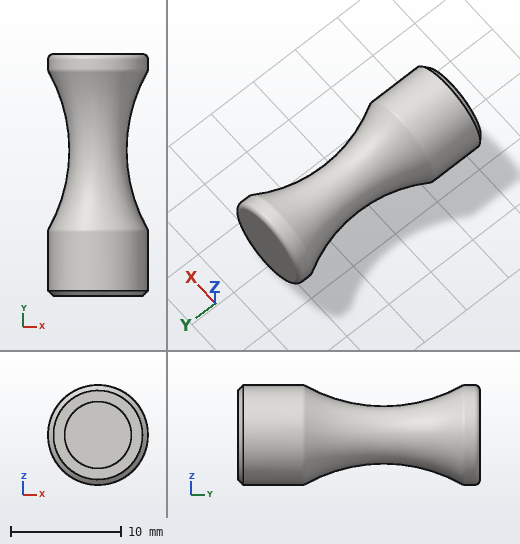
import cadquery as cq

length = 22.0
outer_radius = 4.55
end_break = 0.5

waist_center = 13.25
waist_radius = 2.62
waist_half_length = 7.24
waist_start = waist_center - waist_half_length
waist_end = waist_center + waist_half_length
waist_edge_fillet = 0.5

socket_radius = 3.04
socket_depth = 6.0


def make_body():
    """Revolve the half outline (radius along X) about the Y axis."""
    outline = (
        cq.Workplane("XY")
        .lineTo(outer_radius, 0)
        .lineTo(outer_radius, waist_start)
        .threePointArc((waist_radius, waist_center), (outer_radius, waist_end))
        .lineTo(outer_radius, length)
        .lineTo(0, length)
        .close()
    )
    return outline.revolve(360, (0, 0, 0), (0, 1, 0))


def rim_at(y):
    """Select the full-diameter circular edge at the given height along Y."""
    reach = outer_radius + 0.22
    half_band = 0.1
    return cq.selectors.BoxSelector(
        (-reach, y - half_band, -reach), (reach, y + half_band, reach), boundingbox=True
    )


body = make_body()
for rim in (waist_start, waist_end):
    body = body.edges(rim_at(rim)).edges("%CIRCLE").fillet(waist_edge_fillet)
body = body.edges(rim_at(0)).edges("%CIRCLE").chamfer(end_break)
body = body.edges(rim_at(length)).edges("%CIRCLE").fillet(end_break)

socket = cq.Workplane("XZ").circle(socket_radius).extrude(-socket_depth)
result = body.cut(socket)